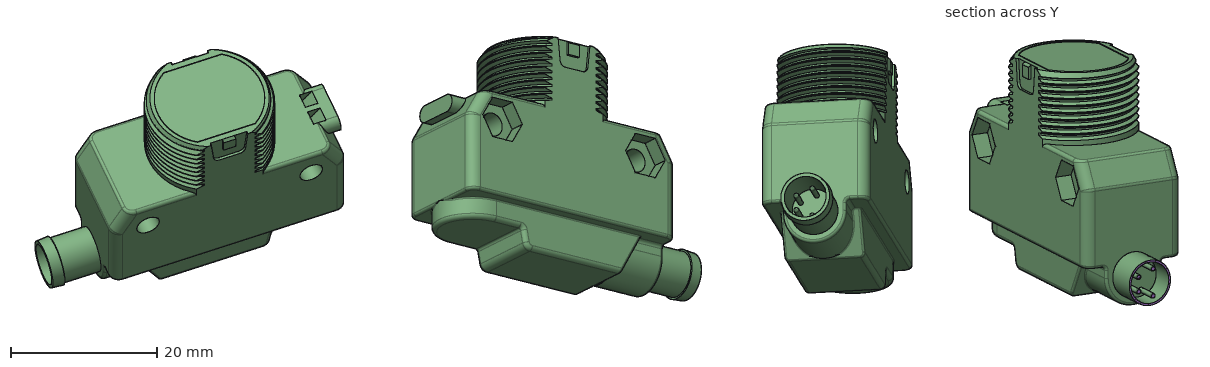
import cadquery as cq
import math


join_overlap = 1.0
select_margin = 0.1

width = 15.0
length = 34.5
body_bottom = 6.0
body_top = 20.97
shoulder_z = 17.25
shoulder_angle = 30.0
corner_radius = 1.5
shoulder_radius = 0.75
edge_radius = 0.5

part_top = 31.1
thread_radius = 8.94
thread_depth = 0.58
thread_pitch = 1.0
groove_mouth = 0.88
groove_floor = 0.25
groove_overshoot = 0.1
groove_start_z = 21.45
barrel_chamfer_width = 0.78
barrel_chamfer_height = 1.05
lens_radius = 7.56
lens_width = 12.5
lens_recess = 0.1

notch_depth = 0.4
notch_top_width = 5.36
notch_bottom_width = 4.5
notch_height = 4.05
notch_radius = 0.9
catch_width = 1.8
catch_bottom = 2.05
catch_top = 0.35

hole_spacing = 24.0
hole_z = 17.1
hole_diameter = 3.3
nut_across_flats = 5.75
nut_depth = 2.4

tab_width = 7.6
tab_height = 2.5
tab_end_y = 17.86
tab_inner_y = 12.0
window_width = 2.2
window_gap = 0.84
window_front_y = 14.27
window_back_y = 16.1
window_depth = 2.0

cover_width = 11.15
cover_step_z = 3.0
cover_step_y = 7.2
cover_step_lean = 0.6
cover_heel_radius = 1.2
cover_throat_radius = 0.4
cover_slope_bottom_y = -9.35
cover_slope_top_y = -12.7
cover_edge_radius = 0.65
cover_slope_radius = 0.3
cover_root_radius = 0.17

connector_z = 4.38
cradle_radius = 4.36
cradle_end_y = -9.6
cradle_edge_radius = 0.4
cradle_root_radius = 0.5
tube_diameter = 6.5
collar_large_diameter = 7.06
collar_small_diameter = 6.78
collar_length = 1.7
tube_end_y = -24.36
bore_diameter = 5.8
bore_depth = 6.0
pin_diameter = 0.7
pin_circle_radius = 2.0
pin_angles = (75, 149, 211, 285)
pin_setback = 2.3
pin_tip_radius = 0.3

half_width = width / 2
half_length = length / 2
front_y = -half_length


def make_housing():
    """Box with two sloped shoulders and the connector cradle below its front end."""
    slope_run = (body_top - shoulder_z) * math.tan(math.radians(shoulder_angle))
    top_half = half_length - slope_run
    housing = (
        cq.Workplane("YZ")
        .polyline([
            (-half_length, body_bottom),
            (half_length, body_bottom),
            (half_length, shoulder_z),
            (top_half, body_top),
            (-top_half, body_top),
            (-half_length, shoulder_z),
        ])
        .close()
        .extrude(half_width, both=True)
    )
    shoulder_edges = cq.selectors.BoxSelector(
        (-width, -length, shoulder_z - select_margin), (width, length, shoulder_z + select_margin)
    )
    housing = housing.edges(shoulder_edges).edges("|X").fillet(shoulder_radius)
    end_edges = cq.selectors.BoxSelector(
        (-width, -length, body_bottom + select_margin), (width, length, body_top - select_margin)
    )
    housing = housing.faces("<X or >X").edges(end_edges).fillet(corner_radius)
    housing = housing.faces(">Z").edges().fillet(edge_radius)

    cradle = (
        cq.Workplane("XZ", origin=(0, front_y, connector_z))
        .moveTo(-cradle_radius, body_bottom + join_overlap - connector_z)
        .lineTo(-cradle_radius, 0)
        .threePointArc((0, -cradle_radius), (cradle_radius, 0))
        .lineTo(cradle_radius, body_bottom + join_overlap - connector_z)
        .close()
        .extrude(front_y - cradle_end_y)
    )
    housing = housing.union(cradle)
    cradle_root = cq.selectors.BoxSelector(
        (-cradle_radius - select_margin, front_y - select_margin, body_bottom - select_margin),
        (cradle_radius + select_margin, cradle_end_y + select_margin, body_bottom + select_margin),
    )
    housing = housing.edges(cradle_root).edges("|Y").fillet(cradle_root_radius)
    front_loop = cq.selectors.BoxSelector(
        (-half_width, front_y - select_margin, -select_margin),
        (half_width, front_y + select_margin, body_bottom + edge_radius + select_margin),
    )
    return housing.faces("<Y").edges(front_loop).fillet(cradle_edge_radius)


def make_thread_groove():
    """Right-handed helical groove that is cut from the barrel."""
    slope = (groove_mouth - groove_floor) / 2 / thread_depth
    outer_half = groove_mouth / 2 + slope * groove_overshoot
    floor_radius = thread_radius - thread_depth
    profile = (
        cq.Workplane("XZ")
        .polyline([
            (floor_radius, groove_start_z - groove_floor / 2),
            (floor_radius, groove_start_z + groove_floor / 2),
            (thread_radius + groove_overshoot, groove_start_z + outer_half),
            (thread_radius + groove_overshoot, groove_start_z - outer_half),
        ])
        .close()
    )
    helix_height = part_top + thread_pitch - groove_start_z
    helix = cq.Wire.makeHelix(
        thread_pitch, helix_height, floor_radius, center=cq.Vector(0, 0, groove_start_z)
    )
    return profile.sweep(cq.Workplane(obj=helix), isFrenet=True)


def flat_slab(slab_width, bottom, top):
    """Block of the given X width used to trim round shapes with two flats."""
    return cq.Workplane("XY", origin=(0, 0, bottom)).box(
        slab_width, 2 * thread_radius + join_overlap, top - bottom, centered=(True, True, False)
    )


def round_post(bottom, top):
    """Cylinder on the barrel axis at the thread's outer radius."""
    return cq.Workplane("XY", origin=(0, 0, bottom)).circle(thread_radius).extrude(top - bottom)


def make_notch():
    """Tapered notch in the -X flat, leaving a catch with a sloped top."""
    floor_x = -half_width + notch_depth
    notch = (
        cq.Workplane("YZ", origin=(floor_x, 0, part_top))
        .polyline([
            (-notch_top_width / 2, 0),
            (-notch_bottom_width / 2, -notch_height),
            (notch_bottom_width / 2, -notch_height),
            (notch_top_width / 2, 0),
        ])
        .close()
        .extrude(-2 * notch_depth)
        .edges("|X and <Z")
        .fillet(notch_radius)
    )
    catch = (
        cq.Workplane("XZ", origin=(0, catch_width / 2, part_top))
        .polyline([
            (floor_x, 0),
            (floor_x, -catch_bottom),
            (-half_width, -catch_bottom),
            (-half_width, -catch_top),
        ])
        .close()
        .extrude(catch_width)
    )
    return notch.cut(catch)


def make_barrel():
    """Threaded barrel with two flats, a recessed lens face and two notches."""
    foot_z = body_bottom + join_overlap
    blank_top = part_top + 3 * thread_pitch
    threaded = round_post(foot_z, blank_top).cut(make_thread_groove())
    collar = round_post(foot_z, groove_start_z)
    envelope = (
        round_post(foot_z, part_top)
        .faces(">Z")
        .chamfer(barrel_chamfer_height, barrel_chamfer_width)
        .intersect(flat_slab(width, foot_z, part_top))
    )
    barrel = threaded.union(collar).intersect(envelope)
    lens = (
        cq.Workplane("XY", origin=(0, 0, part_top - lens_recess))
        .circle(lens_radius)
        .extrude(lens_recess)
        .intersect(flat_slab(lens_width, part_top - lens_recess, part_top))
    )
    notch = make_notch()
    return barrel.cut(lens).cut(notch).cut(notch.mirror("YZ"))


def make_cover():
    """Stepped cover under the housing: round rear end, sloped front end."""
    heel_y = cover_step_y - cover_step_lean
    top_z = body_bottom + edge_radius
    front_lean = (cover_slope_top_y - cover_slope_bottom_y) / body_bottom
    cover = (
        cq.Workplane("YZ")
        .polyline([
            (half_length, top_z),
            (half_length, cover_step_z),
            (cover_step_y, cover_step_z),
            (heel_y, 0),
            (cover_slope_bottom_y, 0),
            (cover_slope_bottom_y + front_lean * top_z, top_z),
        ])
        .close()
        .extrude(cover_width / 2, both=True)
    )
    heel = cq.selectors.NearestToPointSelector((0, heel_y, 0))
    cover = cover.edges("|X").edges(heel).fillet(cover_heel_radius)
    throat = cq.selectors.NearestToPointSelector((0, cover_step_y, cover_step_z))
    cover = cover.edges("|X").edges(throat).fillet(cover_throat_radius)
    plan = (
        cq.Workplane("XY")
        .moveTo(-cover_width / 2, front_y)
        .lineTo(cover_width / 2, front_y)
        .lineTo(cover_width / 2, half_length - cover_width / 2)
        .threePointArc((0, half_length), (-cover_width / 2, half_length - cover_width / 2))
        .close()
        .extrude(top_z)
    )
    cover = cover.intersect(plan)
    slope_y = (cover_slope_bottom_y + cover_slope_top_y) / 2
    behind_slope = cq.selectors.BoxSelector(
        (-cover_width, cover_slope_bottom_y + join_overlap, -select_margin),
        (cover_width, length, body_bottom),
    )
    cover = cover.faces("<X or >X").edges(behind_slope).edges("not |Z").fillet(cover_edge_radius)
    slope_face = cq.selectors.NearestToPointSelector((0, slope_y, body_bottom / 2))
    return cover.faces(slope_face).edges("not >Z").fillet(cover_slope_radius)


def join_cover(housing, cover):
    """Unite both bodies, with a small fillet where the cover meets the housing floor."""
    joined = housing.union(cover)
    side_roots = cq.selectors.BoxSelector(
        (-cover_width, cover_slope_bottom_y, body_bottom - select_margin),
        (cover_width, cover_step_y, body_bottom + select_margin),
    )
    return joined.edges(side_roots).edges("|Y").fillet(cover_root_radius)


def make_tab():
    """Round-edged tab at the top rear of the housing."""
    side_radius = tab_height / 2
    return (
        cq.Workplane("XZ", origin=(0, tab_end_y, body_top - side_radius))
        .slot2D(tab_width, tab_height)
        .extrude(tab_end_y - tab_inner_y)
    )


def cut_windows(part):
    """Two wedge-shaped windows whose floors rise toward the end of the tab."""
    for side in (-1, 1):
        center_x = side * (window_gap + window_width) / 2
        window = (
            cq.Workplane("YZ", origin=(center_x, 0, body_top))
            .polyline([
                (window_back_y, 0),
                (window_front_y, 0),
                (window_front_y, -window_depth),
            ])
            .close()
            .extrude(window_width / 2, both=True)
        )
        part = part.cut(window)
    return part


def cut_mounting_holes(part):
    """Two through holes along X, each with a hexagonal nut pocket on the -X side."""
    for side in (-1, 1):
        center = (-half_width, side * hole_spacing / 2, hole_z)
        hole = cq.Workplane("YZ", origin=center).circle(hole_diameter / 2).extrude(width)
        corner_diameter = nut_across_flats / math.cos(math.pi / 6)
        pocket = cq.Workplane("YZ", origin=center).polygon(6, corner_diameter).extrude(nut_depth)
        part = part.cut(hole).cut(pocket)
    return part


def make_connector():
    """Tube with a slightly tapered end collar, a blind bore and contact pins."""
    collar_y = tube_end_y + collar_length
    bore_floor_y = tube_end_y + bore_depth
    root_y = front_y + join_overlap
    connector = (
        cq.Workplane("XY")
        .polyline([
            (0, root_y),
            (tube_diameter / 2, root_y),
            (tube_diameter / 2, collar_y),
            (collar_large_diameter / 2, collar_y),
            (collar_small_diameter / 2, tube_end_y),
            (bore_diameter / 2, tube_end_y),
            (bore_diameter / 2, bore_floor_y),
            (0, bore_floor_y),
        ])
        .close()
        .revolve(360, (0, 0, 0), (0, 1, 0))
        .translate((0, 0, connector_z))
    )
    pin_points = [
        (pin_circle_radius * math.cos(math.radians(a)), pin_circle_radius * math.sin(math.radians(a)))
        for a in pin_angles
    ]
    pins = (
        cq.Workplane("XZ", origin=(0, bore_floor_y + join_overlap, connector_z))
        .pushPoints(pin_points)
        .circle(pin_diameter / 2)
        .extrude(bore_depth + join_overlap - pin_setback)
        .faces("<Y")
        .edges()
        .fillet(pin_tip_radius)
    )
    return connector.union(pins)


part = join_cover(make_housing(), make_cover()).union(make_tab())
part = cut_windows(part)
part = cut_mounting_holes(part)
result = part.union(make_connector()).union(make_barrel())